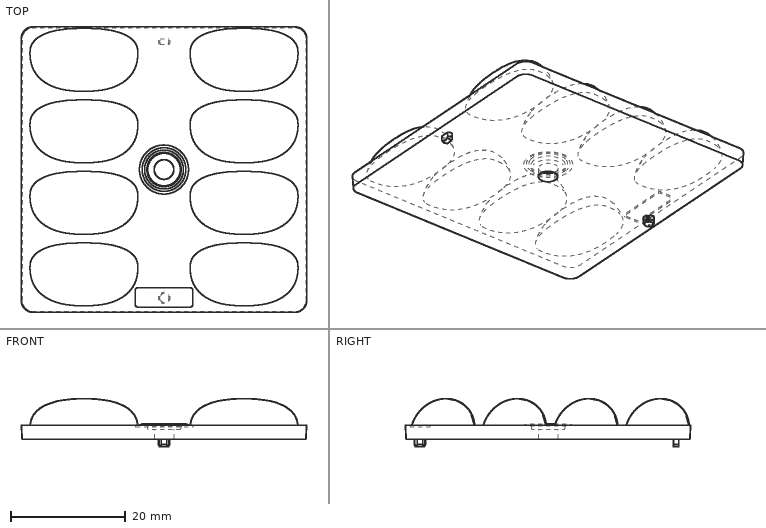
import cadquery as cq
import math

OVERALL_HEIGHT = 8.39

PLATE_SIDE = 49.93
PLATE_THICKNESS = 2.5
PLATE_CORNER_RADIUS = 2.1
PLATE_DRAFT_ANGLE = 3.5

DOME_COLUMN_SPACING = 28.0
DOME_ROW_SPACING = 12.5
DOME_ROWS = 4
DOME_HEIGHT = 4.64
DOME_HALF_LENGTH = 9.45
DOME_MAJOR_RADIUS = 6.09
DOME_MINOR_RADIUS = 5.42
DOME_TILT = 37.0
DOME_MIDDLE_Y = 0.31
DOME_END_SHIFT_Y = 1.37
DOME_END_SHIFT_Z = 0.65
DOME_FULLNESS = 2.4
DOME_SECTIONS_PER_SIDE = 9
DOME_END_SCALE = 0.1
DOME_EMBED_DEPTH = 0.5

SEAT_RIM_OUTER_RADIUS = 4.3
SEAT_RIM_CREST_OUTER_RADIUS = 3.82
SEAT_RIM_CREST_INNER_RADIUS = 3.4
SEAT_RIM_HEIGHT = 0.2
SEAT_WALL_TOP_RADIUS = 3.0
SEAT_WALL_TOP_DEPTH = 0.1
SEAT_FLOOR_RADIUS = 2.85
SEAT_FLOOR_DEPTH = 0.75
SCREW_HOLE_RADIUS = 1.7

LABEL_LENGTH = 10.1
LABEL_WIDTH = 3.4
LABEL_CORNER_RADIUS = 0.5
LABEL_DEPTH = 0.3
LABEL_Y = -22.35

PIN_LENGTH = OVERALL_HEIGHT - PLATE_THICKNESS - DOME_HEIGHT
PIN_DIAMETER = 2.0
PIN_RIB_THICKNESS = 1.0
PIN_OFFSET_Y = 22.4
PIN_CHAMFER_HEIGHT = 0.4
PIN_CHAMFER_WIDTH = 0.2


def make_plate():
    outline = cq.Sketch().rect(PLATE_SIDE, PLATE_SIDE).vertices().fillet(PLATE_CORNER_RADIUS)
    return cq.Workplane("XY").placeSketch(outline).extrude(-PLATE_THICKNESS, taper=PLATE_DRAFT_ANGLE)


def dome_section(sweep_angle):
    """Ellipse of the dome at a profile angle, from 0 in the middle to a right angle at a tip."""
    power = 2.0 / DOME_FULLNESS
    x = math.copysign(DOME_HALF_LENGTH * abs(math.sin(sweep_angle)) ** power, sweep_angle)
    scale = math.cos(sweep_angle) ** power
    tilt = math.radians(DOME_TILT)
    top_reach = math.hypot(DOME_MAJOR_RADIUS * math.cos(tilt), DOME_MINOR_RADIUS * math.sin(tilt))
    middle_z = DOME_HEIGHT - top_reach
    center = cq.Vector(
        x,
        DOME_MIDDLE_Y + DOME_END_SHIFT_Y * (1 - scale),
        middle_z + DOME_END_SHIFT_Z * (1 - scale),
    )
    lower_axis_end = cq.Vector(0, -math.sin(tilt), -math.cos(tilt))
    return cq.Wire.makeEllipse(
        DOME_MAJOR_RADIUS * scale,
        DOME_MINOR_RADIUS * scale,
        center,
        cq.Vector(1, 0, 0),
        lower_axis_end,
    )


def make_dome():
    """One dome, with its grid point at the origin and its base just inside the plate."""
    last_angle = math.acos(DOME_END_SCALE ** (0.5 * DOME_FULLNESS))
    step = last_angle / DOME_SECTIONS_PER_SIDE
    indices = range(-DOME_SECTIONS_PER_SIDE, DOME_SECTIONS_PER_SIDE + 1)
    body = cq.Workplane(cq.Solid.makeLoft([dome_section(i * step) for i in indices]))

    kept_region = (
        cq.Workplane("XY")
        .workplane(offset=-DOME_EMBED_DEPTH)
        .rect(2 * DOME_HALF_LENGTH, 4 * DOME_HALF_LENGTH)
        .extrude(DOME_EMBED_DEPTH + 2 * DOME_HEIGHT)
        .translate((DOME_HALF_LENGTH, 0, 0))
    )
    half = body.intersect(kept_region, clean=False)
    return half.union(half.mirror("YZ"), clean=False)


def place_domes(body):
    dome = make_dome()
    for column in (-0.5, 0.5):
        for row in range(DOME_ROWS):
            x = column * DOME_COLUMN_SPACING
            y = (row - 0.5 * (DOME_ROWS - 1)) * DOME_ROW_SPACING
            body = body.union(dome.translate((x, y, 0)), clean=False)
    return body


def revolve_about_z(points):
    return cq.Workplane("XZ").polyline(points).close().revolve(360, (0, 0, 0), (0, 1, 0))


def make_seat_rim():
    """Raised ring with a sloped outside; its bottom sits inside the plate."""
    return revolve_about_z([
        (0, -SEAT_FLOOR_DEPTH),
        (SEAT_RIM_OUTER_RADIUS, -SEAT_FLOOR_DEPTH),
        (SEAT_RIM_OUTER_RADIUS, 0),
        (SEAT_RIM_CREST_OUTER_RADIUS, SEAT_RIM_HEIGHT),
        (0, SEAT_RIM_HEIGHT),
    ])


def make_seat_cavity():
    """Sloped mouth, steep wall, flat floor and through hole of the screw seat."""
    return revolve_about_z([
        (0, -PLATE_THICKNESS),
        (SCREW_HOLE_RADIUS, -PLATE_THICKNESS),
        (SCREW_HOLE_RADIUS, -SEAT_FLOOR_DEPTH),
        (SEAT_FLOOR_RADIUS, -SEAT_FLOOR_DEPTH),
        (SEAT_WALL_TOP_RADIUS, -SEAT_WALL_TOP_DEPTH),
        (SEAT_RIM_CREST_INNER_RADIUS, SEAT_RIM_HEIGHT),
        (0, SEAT_RIM_HEIGHT),
    ])


def make_label_recess():
    return (
        cq.Workplane("XY")
        .center(0, LABEL_Y)
        .rect(LABEL_LENGTH, LABEL_WIDTH)
        .extrude(-LABEL_DEPTH)
        .edges("|Z")
        .fillet(LABEL_CORNER_RADIUS)
    )


def make_pin(rib_angles):
    """Chamfered round pin reduced to ribs that cross its axis at the given angles."""
    radius = 0.5 * PIN_DIAMETER
    tip_z = -PLATE_THICKNESS - PIN_LENGTH
    round_pin = revolve_about_z([
        (0, -PLATE_THICKNESS),
        (radius, -PLATE_THICKNESS),
        (radius, tip_z + PIN_CHAMFER_HEIGHT),
        (radius - PIN_CHAMFER_WIDTH, tip_z),
        (0, tip_z),
    ])
    ribs = cq.Workplane("XY")
    for angle in rib_angles:
        rib = (
            cq.Workplane("XY")
            .workplane(offset=-PLATE_THICKNESS)
            .rect(2 * PIN_DIAMETER, PIN_RIB_THICKNESS)
            .extrude(-PIN_LENGTH)
            .rotate((0, 0, 0), (0, 0, 1), angle)
        )
        ribs = ribs.union(rib)
    return round_pin.intersect(ribs)


cross_pin = make_pin((0, 90)).translate((0, -PIN_OFFSET_Y, 0))
bar_pin = make_pin((0,)).translate((0, PIN_OFFSET_Y, 0))

plate = make_plate().union(make_seat_rim()).cut(make_seat_cavity()).cut(make_label_recess())
plate = plate.union(cross_pin).union(bar_pin)
result = place_domes(plate)